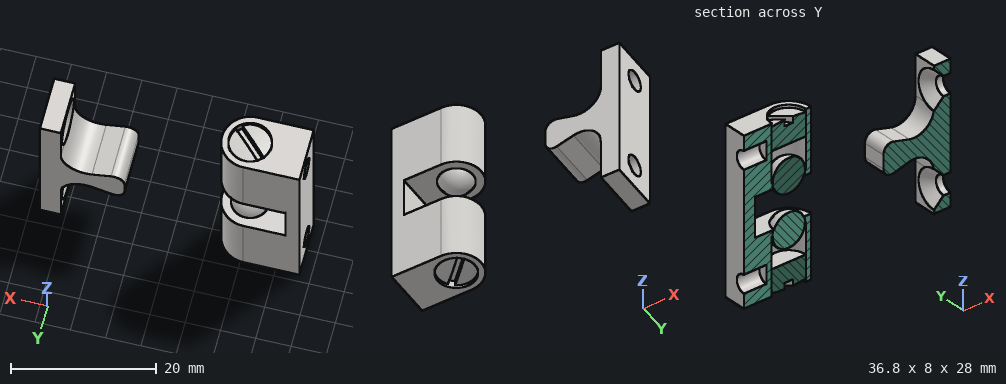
import cadquery as cq
import math


depth_y = 8.0
overall_x = 36.8

housing_x = 12.0
housing_z = 28.0
housing_back = 2.0
mouth_gap = 6.5
mount_hole_dia = 3.0
mount_hole_depth = 4.0
mount_hole_z = 10.0

axis_x = housing_x - depth_y / 2
ball_radius = 2.9
ball_projection = 1.75
ball_z = mouth_gap / 2 - ball_projection + ball_radius
screw_radius = 3.0
screw_recess = 0.5
screw_length = 4.0
screw_edge_z = housing_z / 2 - screw_recess
dome_radius = 20.0
slot_width = 1.0
slot_depth = 0.8
slot_angle = -45.0

strike_z = 24.0
plate_thickness = 3.0
plate_x = overall_x - plate_thickness
nose_reach = 9.0
nose_x = plate_x - nose_reach
nose_radius = 1.5
neck_thickness = 3.5
neck_radius = 3.5
flank_angle = math.radians(15)
strike_hole_z = 8.0
strike_hole_dia = 3.2
sink_dia = 6.6


def mirrored_pair(body):
    """The upper body and its mirror image below the XY plane."""
    return [body, body.mirror("XY")]


def ball():
    return cq.Workplane("XY").sphere(ball_radius).translate((axis_x, 0, ball_z))


def screw():
    """Grub screw with a shallow domed head, slotted at 45 degrees."""
    dome_height = dome_radius - math.sqrt(dome_radius**2 - screw_radius**2)
    crown_z = screw_edge_z + dome_height
    blank = (
        cq.Workplane("XY", origin=(axis_x, 0, screw_edge_z - screw_length))
        .circle(screw_radius)
        .extrude(screw_length + dome_height)
    )
    dome = cq.Workplane("XY").sphere(dome_radius).translate((axis_x, 0, crown_z - dome_radius))
    slot = (
        cq.Workplane("XY", origin=(axis_x, 0, screw_edge_z - slot_depth))
        .transformed(rotate=(0, 0, slot_angle))
        .rect(3 * screw_radius, slot_width)
        .extrude(slot_depth + dome_height)
    )
    return blank.intersect(dome).cut(slot)


def ball_chamber():
    """Screw bore down to the ball centre, closed by a spherical lip that retains the ball."""
    bore = (
        cq.Workplane("XY", origin=(axis_x, 0, ball_z))
        .circle(screw_radius)
        .extrude(housing_z / 2 - ball_z)
    )
    return bore.union(ball())


def housing():
    """Round-fronted block with a mouth between the balls and two holes in its back."""
    block = (
        cq.Workplane("XY", origin=(0, 0, -housing_z / 2))
        .moveTo(0, -depth_y / 2)
        .lineTo(axis_x, -depth_y / 2)
        .threePointArc((housing_x, 0), (axis_x, depth_y / 2))
        .lineTo(0, depth_y / 2)
        .close()
        .extrude(housing_z)
    )
    mouth = (
        cq.Workplane("XY")
        .box(housing_x, depth_y, mouth_gap)
        .translate((housing_back + housing_x / 2, 0, 0))
    )
    mount_holes = (
        cq.Workplane("YZ")
        .pushPoints([(0, mount_hole_z), (0, -mount_hole_z)])
        .circle(mount_hole_dia / 2)
        .extrude(mount_hole_depth)
    )
    body = block.cut(mouth).cut(mount_holes)
    for chamber in mirrored_pair(ball_chamber()):
        body = body.cut(chamber)
    return body


def arc_point(center, radius, angle):
    return (center[0] + radius * math.cos(angle), center[1] + radius * math.sin(angle))


def flip(point):
    return (point[0], -point[1])


def strike_profile():
    """Outline in XZ: plate, neck fillets, sloping flanks and the rounded nose."""
    neck_center = (plate_x - neck_radius, neck_thickness / 2 + neck_radius)
    neck_end = (plate_x, neck_center[1])
    neck_mid = arc_point(neck_center, neck_radius, -math.pi / 4)
    neck_start = arc_point(neck_center, neck_radius, -math.pi / 2 - flank_angle)

    nose_center_x = nose_x + nose_radius
    nose_end_x = nose_center_x + nose_radius * math.sin(flank_angle)
    nose_end_z = neck_start[1] + (neck_start[0] - nose_end_x) * math.tan(flank_angle)
    nose_center = (nose_center_x, nose_end_z - nose_radius * math.cos(flank_angle))
    nose_end = (nose_end_x, nose_end_z)
    nose_mid = arc_point(nose_center, nose_radius, math.radians(135))
    nose_start = (nose_x, nose_center[1])

    return (
        cq.Workplane("XZ")
        .moveTo(overall_x, -strike_z / 2)
        .lineTo(overall_x, strike_z / 2)
        .lineTo(plate_x, strike_z / 2)
        .lineTo(*neck_end)
        .threePointArc(neck_mid, neck_start)
        .lineTo(*nose_end)
        .threePointArc(nose_mid, nose_start)
        .lineTo(*flip(nose_start))
        .threePointArc(flip(nose_mid), flip(nose_end))
        .lineTo(*flip(neck_start))
        .threePointArc(flip(neck_mid), flip(neck_end))
        .lineTo(plate_x, -strike_z / 2)
        .close()
    )


def countersunk_hole():
    """90 degree countersink in the plate face; its rim runs on clear of the neck fillet."""
    hole_radius = strike_hole_dia / 2
    sink_radius = sink_dia / 2
    sink_depth = sink_radius - hole_radius
    return (
        cq.Workplane("XZ")
        .moveTo(nose_x, strike_hole_z)
        .lineTo(nose_x, strike_hole_z + sink_radius)
        .lineTo(plate_x, strike_hole_z + sink_radius)
        .lineTo(plate_x + sink_depth, strike_hole_z + hole_radius)
        .lineTo(overall_x, strike_hole_z + hole_radius)
        .lineTo(overall_x, strike_hole_z)
        .close()
        .revolve(360, (nose_x, strike_hole_z), (overall_x, strike_hole_z))
    )


def strike():
    body = strike_profile().extrude(depth_y / 2, both=True)
    for hole in mirrored_pair(countersunk_hole()):
        body = body.cut(hole)
    return body


balls = mirrored_pair(ball())
screws = mirrored_pair(screw())
bodies = [housing(), strike(), *balls, *screws]

result = cq.Compound.makeCompound([body.val() for body in bodies])